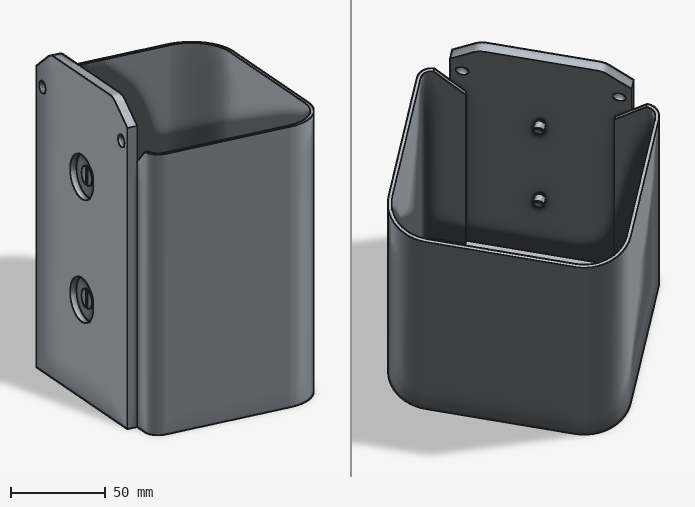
import cadquery as cq

width = 130.0
depth = 114.0
sleeve_height = 160.0
sheet = 2.0
back_radius = 25.0
front_radius = 8.0
flange_end_x = 40.0

plate_width = 97.5
plate_height = 184.0
plate_thickness = 5.9
shoulder_z = 171.9
top_corner_x = 33.3
top_corner_radius = 10.0
hole_diameter = 7.0
hole_x = 42.1
hole_z = 162.1

screw_heights = (56.1, 126.2)
recess_diameter = 25.0
recess_depth = 3.9
head_diameter = 11.0
slot_width = 2.0
head_rise = 1.0
neck_diameter = 4.8
neck_length = 1.5
tip_diameter = 6.0
tip_length = 5.2
tip_chamfer = 0.5


def front_cylinder(diameter, length, x, y, z):
    """Cylinder starting at (x, y, z) and running toward the back (+Y)."""
    start = cq.Vector(x, y, z)
    return cq.Workplane(cq.Solid.makeCylinder(diameter / 2, length, start, cq.Vector(0, 1, 0)))


def rounded_prism(inset):
    """Sleeve body with its side faces moved inward by inset."""
    prism_width = width - 2 * inset
    prism_depth = depth - plate_thickness - 2 * inset
    return (
        cq.Workplane("XY")
        .box(prism_width, prism_depth, sleeve_height, centered=(True, False, False))
        .translate((0, plate_thickness + inset, 0))
        .edges("|Z and >Y").fillet(back_radius - inset)
        .edges("|Z and <Y").fillet(front_radius - inset)
    )


def make_sleeve():
    bend_x = width / 2 - front_radius
    flange_drop = bend_x - flange_end_x
    opening = (
        cq.Workplane("XZ", origin=(0, plate_thickness + sheet, 0))
        .moveTo(-flange_end_x, 0)
        .lineTo(flange_end_x, 0)
        .lineTo(flange_end_x, sleeve_height - flange_drop)
        .lineTo(bend_x, sleeve_height)
        .lineTo(-bend_x, sleeve_height)
        .lineTo(-flange_end_x, sleeve_height - flange_drop)
        .close()
        .extrude(sheet)
    )
    return rounded_prism(0).cut(rounded_prism(sheet)).cut(opening)


def make_plate():
    half_width = plate_width / 2
    plate = (
        cq.Workplane("XZ", origin=(0, plate_thickness, 0))
        .moveTo(-half_width, 0)
        .lineTo(half_width, 0)
        .lineTo(half_width, shoulder_z)
        .lineTo(top_corner_x, plate_height)
        .lineTo(-top_corner_x, plate_height)
        .lineTo(-half_width, shoulder_z)
        .close()
        .extrude(plate_thickness)
    )
    plate = plate.faces(">Z").edges("|Y").fillet(top_corner_radius)
    for x in (-hole_x, hole_x):
        plate = plate.cut(front_cylinder(hole_diameter, plate_thickness, x, 0, hole_z))
    return plate


def add_screw(body, z):
    """Sink a recess with a slotted head on its floor and add the tip behind the plate."""
    body = body.cut(front_cylinder(recess_diameter, recess_depth, 0, 0, z))
    head = front_cylinder(head_diameter, head_rise, 0, recess_depth - head_rise, z)
    slot = (
        cq.Workplane("XY")
        .box(slot_width, 2 * head_rise, head_diameter)
        .translate((0, recess_depth - head_rise, z))
    )
    head = head.cut(slot)
    neck = front_cylinder(neck_diameter, neck_length, 0, plate_thickness, z)
    tip = front_cylinder(tip_diameter, tip_length, 0, plate_thickness + neck_length, z)
    tip = tip.faces(">Y").chamfer(tip_chamfer)
    return body.union(head).union(neck).union(tip)


result = make_sleeve().union(make_plate())
for screw_z in screw_heights:
    result = add_screw(result, screw_z)